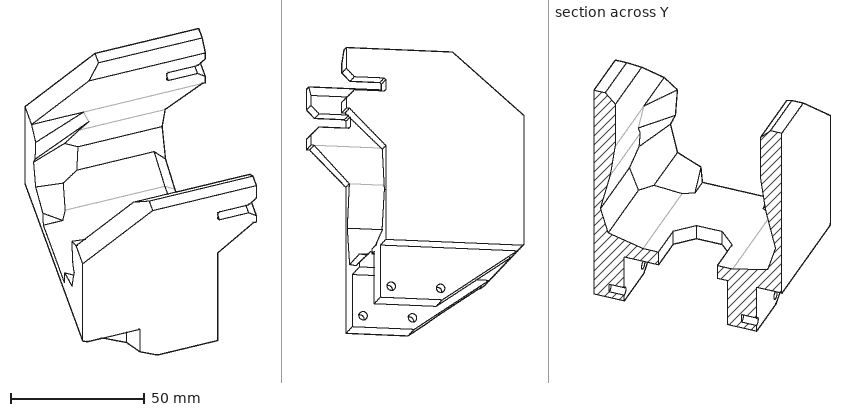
import cadquery as cq
import math

width = 76.0
body_depth = 52.9
arm_depth = 68.0
height = 93.0
half_width = width / 2
cut_margin = 10.0

shoulder_z = 69.75
top_front_y = 27.4
overhang_start_z = 56.0
arm_end_y = 66.8
foot_front_y = 29.2
foot_slope_top_z = 20.4

slot_bottom_z = 76.9
slot_top_z = 81.9
slot_end_y = body_depth
slot_mouth_chamfer = 3.1
slot_corner_chamfer = 0.6

leg_height = 20.0
left_leg_x = (-27.75, -15.9)
right_leg_x = (25.75, half_width)
leg_hole_diameter = 3.2
leg_hole_depth = 6.0
leg_hole_z = 4.4
leg_hole_ys = (29.85, 48.75)
relief_wall_x = 34.5
relief_inner_end_y = 18.2
relief_outer_end_y = 22.4
relief_top_z = 19.2

floor_z = 26.0
wall_x = 29.3
channel_half = [
    (18.1, floor_z),
    (32.2, 29.5),
    (35.3, 39.8),
    (31.3, overhang_start_z),
    (wall_x, shoulder_z),
]
wall_top_chamfer_x = 4.1
wall_top_chamfer_z = 4.2
floor_back_chamfer = 4.1

lip_bottom = (13.8, floor_z)
lip_step = (14.4, 32.8)
lip_low = (23.9, 37.0)
lip_wide = (26.7, 49.2)
lip_high = (24.7, 53.7)
lip_tip = (23.9, 65.5)
lip_shoulder = (wall_x, shoulder_z)
lip_ledge_drop = 0.86
lip_lower_flare = 0.54
lip_middle_flare = 0.40
lip_upper_flare = 0.28
lip_depth = 25.0
lip_foot_end_x = 12.0

notch_half_width = 11.9
notch_front_y = 27.4
notch_chamfer = 6.7


def mirrored(half):
    """Close a right-half outline with its mirror image about X = 0."""
    return half + [(-x, z) for x, z in reversed(half)]


def prism_along_y(points, start_y, end_y):
    return cq.Workplane("XZ", origin=(0, start_y, 0)).polyline(points).close().extrude(start_y - end_y)


def prism_along_x(points, start_x, end_x):
    return cq.Workplane("YZ", origin=(start_x, 0, 0)).polyline(points).close().extrude(end_x - start_x)


def point_on_line(start, end, x):
    """Point at x on the line through start and end."""
    slope = (end[1] - start[1]) / (end[0] - start[0])
    return (x, start[1] + slope * (x - start[0]))


def shifted(line, dx, dz):
    return [(x + dx, z + dz) for x, z in line]


def crossing(line_a, line_b):
    """Point where two infinite lines cross."""
    (ax, az), (a_end_x, a_end_z) = line_a
    (bx, bz), (b_end_x, b_end_z) = line_b
    adx, adz = a_end_x - ax, a_end_z - az
    bdx, bdz = b_end_x - bx, b_end_z - bz
    t = ((bx - ax) * bdz - (bz - az) * bdx) / (adx * bdz - adz * bdx)
    return (ax + t * adx, az + t * adz)


def side_solid():
    """Full-width block with the side outline."""
    outline = [
        (0, foot_slope_top_z),
        (0, shoulder_z),
        (top_front_y, height),
        (arm_depth, height),
        (arm_depth, shoulder_z),
        (arm_end_y, shoulder_z),
        (body_depth, overhang_start_z),
        (body_depth, 0),
        (foot_front_y, 0),
    ]
    return prism_along_x(outline, -half_width, half_width)


def under_body_space():
    """Space around the two legs, to be removed below the body."""
    space = cq.Workplane("XY").box(width, body_depth, leg_height, centered=(True, False, False))
    for start_x, end_x in (left_leg_x, right_leg_x):
        leg = cq.Workplane("XY").box(end_x - start_x, body_depth, leg_height, centered=False)
        space = space.cut(leg.translate((start_x, 0, 0)))
    return space


def channel():
    above = height + cut_margin
    half = channel_half + [
        (wall_x, height - wall_top_chamfer_z),
        (wall_x + wall_top_chamfer_x, height),
        (wall_x + wall_top_chamfer_x, above),
    ]
    return prism_along_y(mirrored(half), 0, arm_depth)


def lip_section(y):
    """Outline of the front opening at depth y, receding into the walls."""
    above = height + cut_margin
    foot = (lip_bottom, lip_step)
    ledge = shifted((lip_step, lip_low), 0, -lip_ledge_drop * y)
    lower = shifted((lip_low, lip_wide), lip_lower_flare * y, 0)
    middle = shifted((lip_wide, lip_high), lip_middle_flare * y, 0)
    upper = shifted((lip_high, lip_tip), lip_upper_flare * y, 0)
    shoulder = (lip_tip, lip_shoulder)
    outer_x = half_width + cut_margin
    half = [
        point_on_line(*foot, lip_foot_end_x),
        crossing(foot, ledge),
        crossing(ledge, lower),
        crossing(lower, middle),
        crossing(middle, upper),
        crossing(upper, shoulder),
        point_on_line(*shoulder, outer_x),
        (outer_x, above),
    ]
    return mirrored(half)


def lip_opening():
    front = cq.Workplane("XZ").polyline(lip_section(0)).close()
    return front.workplane(offset=-lip_depth).polyline(lip_section(lip_depth)).close().loft(ruled=True)


def channel_void():
    """Channel with the lip left standing at its front."""
    whole = channel()
    front_zone = cq.Workplane("XY").box(2 * width, lip_depth, 2 * height, centered=(True, False, False))
    return whole.cut(front_zone).union(whole.intersect(lip_opening()))


def floor_back_void():
    """Slope that lowers the channel floor towards the back face."""
    start_y = body_depth - floor_back_chamfer
    first, second, third = channel_half[:3]
    section = mirrored([first, second, third])
    front = cq.Workplane("XZ", origin=(0, start_y, 0)).polyline(section).close()
    ledge_run = second[0] - first[0]
    ledge_rise = second[1] - first[1]
    ledge_drop = floor_back_chamfer * math.hypot(ledge_run, ledge_rise) / ledge_run
    ledge = shifted((first, second), 0, -ledge_drop)
    floor = ((0, floor_z - floor_back_chamfer), (wall_x, floor_z - floor_back_chamfer))
    back_half = [crossing(floor, ledge), crossing(ledge, (second, third)), third]
    back = front.workplane(offset=-floor_back_chamfer).polyline(mirrored(back_half)).close()
    return back.loft(ruled=True)


def arm_slot():
    outer_y = arm_depth + cut_margin
    reach = slot_mouth_chamfer + cut_margin
    outline = [
        (slot_end_y, slot_bottom_z + slot_corner_chamfer),
        (slot_end_y, slot_top_z - slot_corner_chamfer),
        (slot_end_y + slot_corner_chamfer, slot_top_z),
        (arm_depth - slot_mouth_chamfer, slot_top_z),
        (outer_y, slot_top_z + reach),
        (outer_y, slot_bottom_z - reach),
        (arm_depth - slot_mouth_chamfer, slot_bottom_z),
        (slot_end_y + slot_corner_chamfer, slot_bottom_z),
    ]
    return prism_along_x(outline, -half_width, half_width)


def floor_notch():
    half = [
        (notch_half_width - notch_chamfer, notch_front_y),
        (notch_half_width, notch_front_y + notch_chamfer),
        (notch_half_width, body_depth),
    ]
    return cq.Workplane("XY").polyline(mirrored(half)).close().extrude(shoulder_z)


def leg_holes(leg_face_x):
    """Blind holes into the left-hand face of a leg."""
    centres = [(y, leg_hole_z) for y in leg_hole_ys]
    face = cq.Workplane("YZ", origin=(leg_face_x, 0, 0)).pushPoints(centres)
    return face.circle(leg_hole_diameter / 2).extrude(leg_hole_depth)


def leg_relief():
    """Recess in the outer front of the right leg, ending in a slanted face."""
    outline = [
        (relief_wall_x, 0),
        (relief_wall_x, relief_inner_end_y),
        (half_width, relief_outer_end_y),
        (half_width, 0),
    ]
    return cq.Workplane("XY").polyline(outline).close().extrude(relief_top_z)


result = side_solid().cut(under_body_space())
result = result.cut(channel_void()).cut(floor_back_void())
result = result.cut(arm_slot()).cut(floor_notch()).cut(leg_relief())
for leg_x in (left_leg_x, right_leg_x):
    result = result.cut(leg_holes(leg_x[0]))